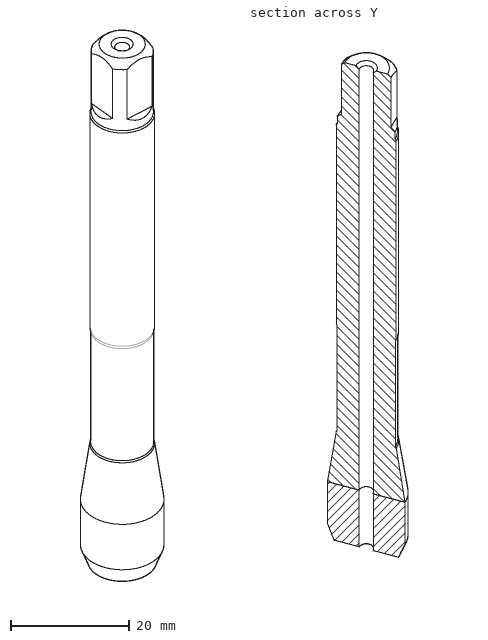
import cadquery as cq

total_length = 110.0
bore_diameter = 2.5

head_diameter = 14.2
head_tip_diameter = 11.8
head_tip_height = 3.4
head_height = 13.1

shank_diameter = 11.0
neck_diameter = 10.7
cone_top = 25.0
neck_bottom_step = 0.3
neck_top = 49.2
neck_top_step = 0.7
shank_top = 95.6
shank_edge_chamfer = 0.3

drive_diameter = 10.6
drive_across_flats = 9.0
drive_bottom = 98.0
drive_end_diameter = 7.8
drive_end_height = 1.4

countersink_diameter = 3.7
countersink_depth = (countersink_diameter - bore_diameter) / 2


def turned_body(profile):
    """Revolve a closed profile of (diameter, height) points around Z."""
    points = [(diameter / 2, height) for diameter, height in profile]
    return cq.Workplane("XZ").polyline(points).close().revolve(360, (0, 0, 0), (0, 1, 0))


def make_head():
    """Cylindrical head with a tapered tip and a through bore."""
    return turned_body([
        (bore_diameter, 0),
        (head_tip_diameter, 0),
        (head_diameter, head_tip_height),
        (head_diameter, head_height),
        (bore_diameter, head_height),
    ])


def drive_flat_cutter():
    """Block beyond one drive flat, with a 45 degree run-out at its lower end."""
    flat_offset = drive_across_flats / 2
    outer_edge = drive_diameter / 2
    run_out_depth = outer_edge - flat_offset
    return (
        cq.Workplane("XZ")
        .polyline([
            (flat_offset, drive_bottom),
            (outer_edge, drive_bottom - run_out_depth),
            (outer_edge, total_length),
            (flat_offset, total_length),
        ])
        .close()
        .extrude(drive_diameter / 2, both=True)
    )


def make_shank():
    """Stepped shank with a conical root, a narrowed neck and a square drive."""
    shank = turned_body([
        (bore_diameter, head_height),
        (head_diameter, head_height),
        (shank_diameter, cone_top),
        (neck_diameter, cone_top + neck_bottom_step),
        (neck_diameter, neck_top),
        (shank_diameter, neck_top + neck_top_step),
        (shank_diameter, shank_top - shank_edge_chamfer),
        (drive_diameter, shank_top),
        (drive_diameter, total_length - drive_end_height),
        (drive_end_diameter, total_length),
        (countersink_diameter, total_length),
        (bore_diameter, total_length - countersink_depth),
    ])
    cutter = drive_flat_cutter()
    for side in range(4):
        shank = shank.cut(cutter.rotate((0, 0, 0), (0, 0, 1), 90 * side))
    return shank


head = make_head()
shank = make_shank()
result = cq.Compound.makeCompound([head.val(), shank.val()])